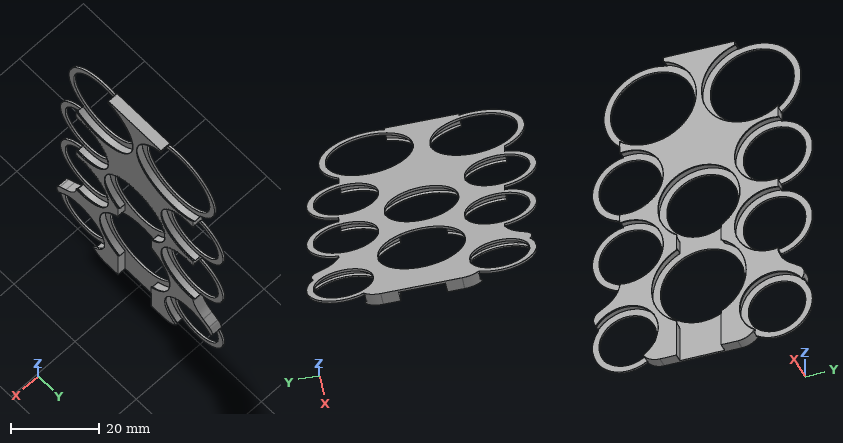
import cadquery as cq
import math

THICKNESS = 2.8
WIDTH = 53.25
HEIGHT = 85.6

FRONT_PLATE = 0.6
RING_WIDTH = 1.6
POCKET_CLEARANCE = 0.2
TAPER_WIDTH = 0.5
TAPER_DEPTH = 0.3

LARGE_WINDOW = 20.3
MEDIUM_WINDOW = 17.2
SMALL_WINDOW = 15.1
TINY_WINDOW = 13.9

POCKET_DEPTHS = {
    LARGE_WINDOW: 1.7,
    MEDIUM_WINDOW: 1.6,
    SMALL_WINDOW: 1.6,
    TINY_WINDOW: 1.45,
}

TOP_SITE_Y = 12.1
TOP_SITE_Z = 73.5
SMALL_SITE_Y = WIDTH / 2 - RING_WIDTH - SMALL_WINDOW / 2
SMALL_SITE_HEIGHTS = (32.7, 52.6)
TINY_SITE_Y = WIDTH / 2 - RING_WIDTH - TINY_WINDOW / 2
TINY_SITE_Z = 9.1
MEDIUM_SITE_Z = 42.6
LOW_SITE_Z = 19.9

TOP_EDGE_HALF = 8.65
WAIST_HALF = 19.2
BASE_HALF = 14.4
BASE_CORNER_RADIUS = 5.0
WAIST_BOTTOM_Z = 23.2
SHOULDER_Y = 22.9
SHOULDER_Z = 15.2
SHOULDER_RADIUS = 2.6
SHOULDER_SLOPE = math.radians(34)
SHOULDER_FLAT = 2.3
HOLLOW_RADIUS = 7.6
SHOULDER_END_ANGLE = math.radians(-60)

SLOT_WIDTH = 10.8


def both_sides(y, z, window):
    return [(side * y, z, window) for side in (-1, 1)]


SITES = [(0, MEDIUM_SITE_Z, MEDIUM_WINDOW), (0, LOW_SITE_Z, LARGE_WINDOW)]
SITES += both_sides(TOP_SITE_Y, TOP_SITE_Z, LARGE_WINDOW)
SITES += both_sides(TINY_SITE_Y, TINY_SITE_Z, TINY_WINDOW)
for small_site_z in SMALL_SITE_HEIGHTS:
    SITES += both_sides(SMALL_SITE_Y, small_site_z, SMALL_WINDOW)


def disc(y, z, radius, x_start, x_end):
    sketch = cq.Workplane("YZ", origin=(x_start, 0, 0)).center(y, z)
    return sketch.circle(radius).extrude(x_end - x_start)


def pocket(y, z, window):
    """Half section of the pocket and its narrower mouth, turned about the axis of the site."""
    radius = window / 2 + RING_WIDTH + POCKET_CLEARANCE
    mouth_radius = radius - TAPER_WIDTH
    taper_start = FRONT_PLATE + POCKET_DEPTHS[window]
    section = (
        cq.Workplane("XY")
        .moveTo(FRONT_PLATE, 0)
        .lineTo(FRONT_PLATE, radius)
        .lineTo(taper_start, radius)
        .lineTo(taper_start + TAPER_DEPTH, mouth_radius)
        .lineTo(THICKNESS, mouth_radius)
        .lineTo(THICKNESS, 0)
        .close()
    )
    return section.revolve(360, (0, 0, 0), (1, 0, 0)).translate((0, y, z))


def shoulder_point(angle):
    return (
        SHOULDER_Y + SHOULDER_RADIUS * math.cos(angle),
        SHOULDER_Z + SHOULDER_RADIUS * math.sin(angle),
    )


def half_body():
    """Body on the +Y side, with its flat edge on the mid plane."""
    flat_start = shoulder_point(math.pi / 2 - SHOULDER_SLOPE)
    flat_end = (
        flat_start[0] - SHOULDER_FLAT * math.cos(SHOULDER_SLOPE),
        flat_start[1] + SHOULDER_FLAT * math.sin(SHOULDER_SLOPE),
    )
    corner_offset = BASE_CORNER_RADIUS * (1 - math.sqrt(0.5))
    outline = (
        cq.Workplane("YZ")
        .lineTo(BASE_HALF - BASE_CORNER_RADIUS, 0)
        .threePointArc(
            (BASE_HALF - corner_offset, corner_offset),
            (BASE_HALF, BASE_CORNER_RADIUS),
        )
        .lineTo(BASE_HALF, TINY_SITE_Z)
        .lineTo(*shoulder_point(SHOULDER_END_ANGLE))
        .threePointArc(shoulder_point(0), flat_start)
        .lineTo(*flat_end)
        .radiusArc((WAIST_HALF, WAIST_BOTTOM_Z), HOLLOW_RADIUS)
        .lineTo(WAIST_HALF, TOP_SITE_Z)
        .lineTo(TOP_EDGE_HALF, TOP_SITE_Z)
        .lineTo(TOP_EDGE_HALF, HEIGHT)
        .lineTo(0, HEIGHT)
        .close()
    )
    return outline.extrude(THICKNESS)


def back_slot():
    blank = cq.Workplane("XY").box(
        THICKNESS - FRONT_PLATE, SLOT_WIDTH, MEDIUM_SITE_Z, centered=(False, True, False)
    )
    return blank.translate((FRONT_PLATE, 0, 0))


right_half = half_body()
result = right_half.union(right_half.mirror("XZ")).cut(back_slot())

for y, z, window in SITES:
    result = result.cut(pocket(y, z, window))

for y, z, window in SITES:
    result = result.union(disc(y, z, window / 2 + RING_WIDTH, 0, FRONT_PLATE))

for y, z, window in SITES:
    result = result.cut(disc(y, z, window / 2, 0, FRONT_PLATE))